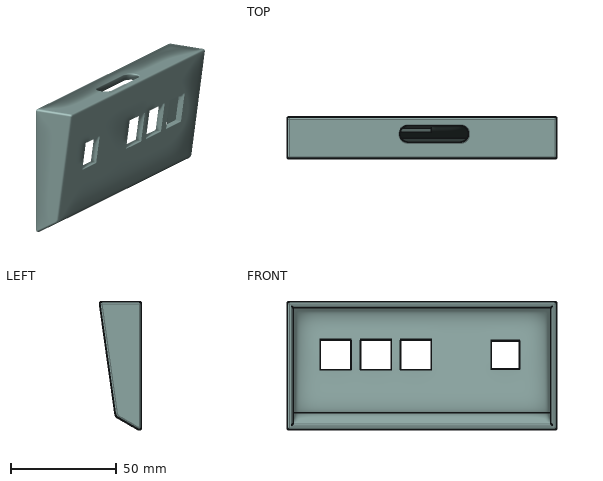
import cadquery as cq
import math

length = 128.0
top_height = 60.8
total_depth = 19.8
wall = 3.0
back_tilt = 8.0
bottom_slope = 30.0
edge_radius = 1.0
back_corner_radius = 3.0
mouth_radius = 1.0
selection_margin = 0.1

button_size = 14.5
button_centers_x = (-41.0, -21.9, -3.0)
switch_width = 13.3
switch_height = 13.7
switch_center_x = 39.5
window_center_z = 35.7

slot_length = 32.5
slot_width = 7.8
slot_center_x = 5.8
slot_center_y = 11.8
slot_edge_radius = 0.5

tilt = math.radians(back_tilt)
slope = math.radians(bottom_slope)

top_half_angle = (math.pi / 2 - tilt) / 2
top_depth = total_depth - edge_radius + edge_radius / math.tan(top_half_angle)

edge_half_angle = (math.pi / 2 - slope) / 2
sharp_bottom = edge_radius - edge_radius / math.tan(edge_half_angle)


def side_profile(inset):
    """Side outline with its top, back and bottom moved inward by inset, as (y, z) points."""
    top = top_height - inset
    bottom = sharp_bottom + inset / math.cos(slope)

    def back_y(z):
        return top_depth - inset / math.cos(tilt) - (top_height - z) * math.tan(tilt)

    corner_y = back_y(bottom) / (1 - math.tan(tilt) * math.tan(slope))
    corner_z = bottom + corner_y * math.tan(slope)
    return [(0, bottom), (0, top), (back_y(top), top), (corner_y, corner_z)]


def prism(points, width):
    return cq.Workplane("YZ").polyline(points).close().extrude(width / 2, both=True)


def outer_body():
    points = side_profile(0)
    corner_y, corner_z = points[-1]
    body = prism(points, length)
    corner_edge = cq.selectors.NearestToPointSelector((0, corner_y, corner_z))
    body = body.edges(corner_edge).fillet(back_corner_radius)
    return body.edges().fillet(edge_radius)


def cavity():
    return prism(side_profile(wall), length - 2 * wall)


def mouth_edges():
    """Selector for the inner edges of the front rim."""
    reach = length / 2 - wall + selection_margin
    return cq.selectors.BoxSelector(
        (-reach, -selection_margin, side_profile(wall)[0][1] - selection_margin),
        (reach, selection_margin, top_height - wall + selection_margin),
    )


def back_window(center_x, width, height):
    """Cutter square to the tilted back wall, reaching past both of its faces."""
    inner_y = top_depth - wall / math.cos(tilt) - (top_height - window_center_z) * math.tan(tilt)
    return (
        cq.Workplane("XY")
        .box(width, 2 * wall, height)
        .translate((0, wall / 2, 0))
        .rotate((0, 0, 0), (1, 0, 0), -back_tilt)
        .translate((center_x, inner_y, window_center_z))
    )


def top_slot():
    return (
        cq.Workplane("XY", origin=(slot_center_x, slot_center_y, top_height))
        .slot2D(slot_length, slot_width)
        .extrude(-2 * wall)
    )


def slot_edges():
    """Selector for the outline of the slot on the top face."""
    reach_x = slot_length / 2 + selection_margin
    reach_y = slot_width / 2 + selection_margin
    return cq.selectors.BoxSelector(
        (slot_center_x - reach_x, slot_center_y - reach_y, top_height - selection_margin),
        (slot_center_x + reach_x, slot_center_y + reach_y, top_height + selection_margin),
    )


result = outer_body().cut(cavity())
result = result.edges(mouth_edges()).fillet(mouth_radius)
for button_x in button_centers_x:
    result = result.cut(back_window(button_x, button_size, button_size))
result = result.cut(back_window(switch_center_x, switch_width, switch_height))
result = result.cut(top_slot())
result = result.edges(slot_edges()).fillet(slot_edge_radius)